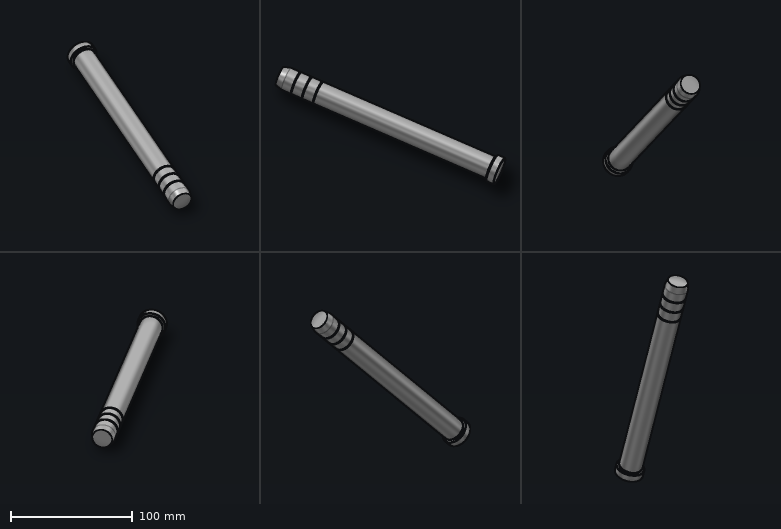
import cadquery as cq

LENGTH = 200
HEAD_DIAMETER = 24
HEAD_THICKNESS = 7.0
HEAD_CHAMFER = 0.5
SHANK_DIAMETER = 20

TAPER_LENGTH = 6
TAPER_ANGLE = 15

UNDERCUT_DEPTH = 0.5
UNDERCUT_WIDTH = 1.0

GROOVE_RADIUS = 0.5
GROOVE_PITCH = 10
GROOVE_COUNT = 3
LAST_GROOVE_FROM_TIP = 15.0

HEAD_FACE_X = -LENGTH / 2
TIP_X = LENGTH / 2
HEAD_BACK_X = HEAD_FACE_X + HEAD_THICKNESS
SHANK_START_X = HEAD_BACK_X + UNDERCUT_WIDTH
TAPER_START_X = TIP_X - TAPER_LENGTH


def cylinder(start_x, length, diameter):
    """Solid cylinder along X starting at start_x."""
    return cq.Workplane("YZ", origin=(start_x, 0, 0)).circle(diameter / 2).extrude(length)


def round_groove_cutter(middle_x):
    """Torus that cuts a half-round groove into the shank."""
    return (
        cq.Workplane("XY")
        .center(middle_x, SHANK_DIAMETER / 2)
        .circle(GROOVE_RADIUS)
        .revolve(360, (0, -SHANK_DIAMETER / 2, 0), (1, -SHANK_DIAMETER / 2, 0))
    )


head = cylinder(HEAD_FACE_X, HEAD_THICKNESS, HEAD_DIAMETER).edges().chamfer(HEAD_CHAMFER)
undercut = cylinder(HEAD_BACK_X, UNDERCUT_WIDTH, SHANK_DIAMETER - 2 * UNDERCUT_DEPTH)
shank = cylinder(SHANK_START_X, TAPER_START_X - SHANK_START_X, SHANK_DIAMETER)

lead_in = (
    cq.Workplane("YZ", origin=(TAPER_START_X, 0, 0))
    .circle(SHANK_DIAMETER / 2)
    .extrude(TAPER_LENGTH, taper=TAPER_ANGLE)
)
result = head.union(undercut).union(shank).union(lead_in)

for index in range(GROOVE_COUNT):
    groove_middle_x = TIP_X - LAST_GROOVE_FROM_TIP - index * GROOVE_PITCH
    result = result.cut(round_groove_cutter(groove_middle_x))